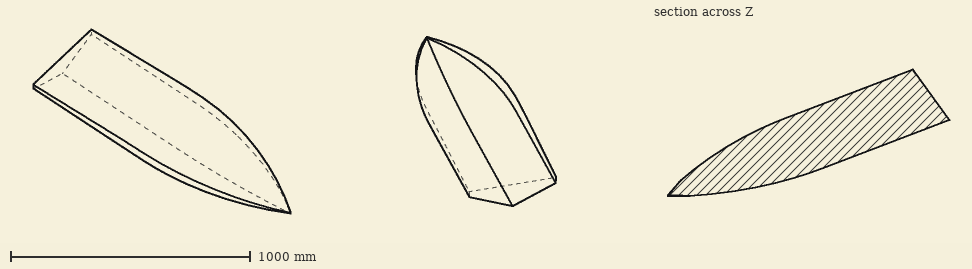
import cadquery as cq
import math

length = 1242.81
overall_width = 385.44
overall_height = 139.61
mid_station = 450.0
bow_station = 600.0
transom_height = 109.5
mid_height = 135.4
deck_tip_height = 70.0
keel_tip_height = 65.0
deadrise_angle = 23.0
flare_angle = 4.5
side_handle = 178.0
bow_handle_run = 311.0
bow_handle_width = 198.0

half_width = overall_width / 2
margin = 100.0
flare = math.tan(math.radians(flare_angle))
deck_slope = (mid_height - transom_height) / mid_station
deadrise = math.tan(math.radians(deadrise_angle))
side_at_stem_head = half_width - flare * (overall_height - deck_tip_height)


def prism(outline, direction):
    """Solid swept in a straight line, possibly oblique to the outline."""
    return cq.Workplane(obj=cq.Solid.extrudeLinear(outline.wire().val(), [], cq.Vector(*direction)))


def deck_crest_point():
    """Highest point of the deck arc from the middle station to the tip.

    With its top at overall_height, an arc of radius r drops by (about) run^2 / 2r, so the
    runs on either side of the crest are in the ratio of the square roots of the drops.
    """
    aft_root = math.sqrt(overall_height - mid_height)
    bow_root = math.sqrt(overall_height - deck_tip_height)
    aft_run = (length - mid_station) * aft_root / (aft_root + bow_root)
    return (mid_station + aft_run, overall_height)


def half_below_deck():
    """Port half of the stock below the deck, which is level from side to side."""
    outline = (
        cq.Workplane("XZ")
        .moveTo(-margin, -margin)
        .lineTo(-margin, transom_height - margin * deck_slope)
        .lineTo(mid_station, mid_height)
        .threePointArc(deck_crest_point(), (length, deck_tip_height))
        .lineTo(length, -margin)
        .close()
    )
    return prism(outline, (0, half_width + margin, 0))


def half_above_bottom():
    """Stock above the port bottom: the keel line swept outward and up along the deadrise."""
    outline = (
        cq.Workplane("XZ")
        .moveTo(-margin, overall_height + margin)
        .lineTo(-margin, 0)
        .lineTo(mid_station, 0)
        .lineTo(bow_station, 0)
        .tangentArcPoint((length, keel_tip_height), relative=False)
        .lineTo(length, overall_height + margin)
        .close()
    )
    reach = half_width + margin
    return prism(outline, (0, reach, reach * deadrise))


def half_inside_side():
    """Stock inside the port side: the side outline swept upward and out along the flare."""
    bottom = -margin
    top = overall_height + margin
    side_curve = [
        (mid_station, side_at_stem_head),
        (mid_station + side_handle, side_at_stem_head),
        (mid_station + side_handle, side_at_stem_head),
        (length - bow_handle_run, bow_handle_width),
        (length, 0),
    ]
    shift = flare * (bottom - deck_tip_height)
    outline = (
        cq.Workplane("XY", origin=(0, shift, bottom))
        .moveTo(-margin, -margin)
        .lineTo(-margin, side_at_stem_head)
        .lineTo(mid_station, side_at_stem_head)
        .bezier(side_curve)
        .lineTo(length, -margin)
        .close()
    )
    sweep = top - bottom
    return prism(outline, (0, flare * sweep, sweep))


def port_half():
    """Port half of the hull."""
    bottom_trimmed = half_below_deck().intersect(half_above_bottom(), clean=False)
    return bottom_trimmed.intersect(half_inside_side(), clean=False)


def ahead_of_transom():
    """Block that trims the joined halves to one flat transom at X = 0."""
    size = (length + margin, overall_width + margin, overall_height + margin)
    block = cq.Workplane("XY").box(*size, centered=(False, True, True))
    return block.translate((0, 0, overall_height / 2))


port = port_half()
starboard = port.mirror("XZ")
hull = port.union(starboard, clean=False)
result = hull.intersect(ahead_of_transom(), clean=False)